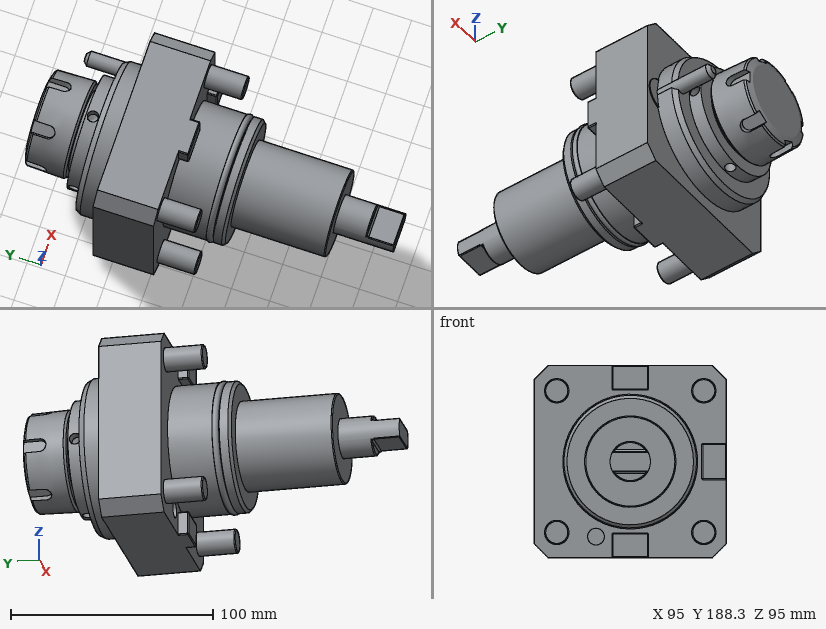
import cadquery as cq
import math


block_side = 95.0
block_thickness = 31.6
block_corner = 7.0
flange_radius = 40.0
flange_end = 43.7
flange_chamfer_radial = 1.5
flange_chamfer_axial = 2.8

pilot_radius = 32.8
pilot_depth = 32.0
pilot_chamfer = 1.5
groove_radius = 30.1
groove_start = 22.5
groove_end = 26.2
seal_radius = 1.7
seal_depth = 24.0
seal_outer_radius = 33.3
shank_radius = 22.6
shank_depth = 81.2
shank_chamfer = 0.5

key_width = 18.0
key_length = 12.2
key_height = 5.3
key_chamfer = 0.5

screw_radius = 6.0
screw_length = 19.8
screw_chamfer = 0.5
screw_x = 36.3
screw_z = 35.0

port_radius = 4.1
port_depth = 18.8
port_x = -17.0
port_z = -37.1

pin_x = 36.3
pin_radius = 4.0
pin_end = 63.8
pin_chamfer = 1.9
pad_radius = 9.8
pad_height = 0.5

nut_end = 76.0
nut_face_radius = 19.8
nut_cone_end = 74.8
nut_cone_radius = 24.1
nut_shoulder = 73.8
nut_shoulder_radius = 24.9
nut_radius = 25.5
nut_start = 53.5
nut_chamfer = 1.1
nut_slots = 6
slot_width = 6.8
slot_floor_radius = 21.7
slot_end = 63.5
neck_radius = 20.7
collar_radius = 29.5
collar_end = 51.2
collar_gap = 0.4
collar_start = flange_end + collar_gap
collar_hole_count = 4
collar_hole_radius = 2.8
collar_hole_depth = 5.6
drill_tip_angle = 118.0

shaft_radius = 10.0
overall_length = 188.3
shaft_end = nut_end - overall_length
tang_shoulder = -98.1
tang_thickness = 10.0
tang_chamfer = 0.4
shoulder_chamfer = 0.5
root_chamfer = 1.0


def revolve_about_y(profile):
    """Turn a closed half profile, drawn as (radius, y), about the Y axis."""
    return profile.close().revolve(360, (0, 0), (0, 1))


def cylinder_y(x, z, radius, y_from, y_to):
    """Cylinder parallel to Y between two Y levels."""
    start = cq.Vector(x, y_from, z)
    direction = cq.Vector(0, y_to - y_from, 0)
    return cq.Workplane(obj=cq.Solid.makeCylinder(radius, abs(y_to - y_from), start, direction))


def make_block():
    block = cq.Workplane("XY").box(block_side, block_thickness, block_side)
    block = block.edges("|Y").chamfer(block_corner)
    return block.translate((0, block_thickness / 2, 0))


def make_turned_housing():
    """Flange, pilot with seal ring, and shank as one turned shape."""
    seal_center_radius = seal_outer_radius - seal_radius
    profile = (
        cq.Workplane("XY")
        .moveTo(0, flange_end)
        .lineTo(flange_radius - flange_chamfer_radial, flange_end)
        .lineTo(flange_radius, flange_end - flange_chamfer_axial)
        .lineTo(flange_radius, 0)
        .lineTo(pilot_radius, 0)
        .lineTo(pilot_radius, -groove_start)
        .lineTo(groove_radius, -groove_start)
        .lineTo(groove_radius, -groove_end)
        .lineTo(pilot_radius, -groove_end)
        .lineTo(pilot_radius, pilot_chamfer - pilot_depth)
        .lineTo(pilot_radius - pilot_chamfer, -pilot_depth)
        .lineTo(shank_radius, -pilot_depth)
        .lineTo(shank_radius, shank_chamfer - shank_depth)
        .lineTo(shank_radius - shank_chamfer, -shank_depth)
        .lineTo(0, -shank_depth)
    )
    seal_plane = cq.Plane(origin=(seal_center_radius, -seal_depth, 0), xDir=(-1, 0, 0), normal=(0, 0, 1))
    seal = (
        cq.Workplane(seal_plane)
        .circle(seal_radius)
        .revolve(360, (seal_center_radius, 0), (seal_center_radius, 1))
    )
    return revolve_about_y(profile).union(seal)


def make_key(angle):
    """Key flush with one side of the block; angle 0 is the +X side."""
    key = cq.Workplane("XY").box(key_length, key_height, key_width)
    key = key.edges("|Y or <Y").chamfer(key_chamfer)
    key = key.translate(((block_side - key_length) / 2, -key_height / 2, 0))
    return key.rotate((0, 0, 0), (0, 1, 0), angle)


def make_screw(x, z):
    screw = cylinder_y(x, z, screw_radius, 0, -screw_length)
    return screw.faces("<Y").chamfer(screw_chamfer)


def make_pin():
    pin = cylinder_y(pin_x, 0, pin_radius, block_thickness, pin_end)
    pin = pin.faces(">Y").chamfer(pin_chamfer)
    pad = cylinder_y(pin_x, 0, pad_radius, block_thickness, block_thickness + pad_height)
    return pin.union(pad)


def make_housing():
    housing = make_block().union(make_turned_housing()).union(make_pin())
    for angle in (-90, 0, 90):
        housing = housing.union(make_key(angle))
    for x in (-screw_x, screw_x):
        for z in (-screw_z, screw_z):
            housing = housing.union(make_screw(x, z))
    housing = housing.cut(cylinder_y(port_x, port_z, port_radius, 0, port_depth))
    return housing.cut(cylinder_y(0, 0, shaft_radius, -shank_depth, flange_end))


def make_turned_spindle():
    """Nut, neck, collar and drive shaft as one turned shape."""
    profile = (
        cq.Workplane("XY")
        .moveTo(0, nut_end)
        .lineTo(nut_face_radius, nut_end)
        .lineTo(nut_cone_radius, nut_cone_end)
        .lineTo(nut_shoulder_radius, nut_shoulder)
        .lineTo(nut_radius, nut_start + nut_chamfer)
        .lineTo(nut_radius - nut_chamfer, nut_start)
        .lineTo(neck_radius, nut_start)
        .lineTo(neck_radius, collar_end)
        .lineTo(collar_radius, collar_end)
        .lineTo(collar_radius, collar_start)
        .lineTo(shaft_radius, collar_start)
        .lineTo(shaft_radius, shaft_end)
        .lineTo(0, shaft_end)
    )
    return revolve_about_y(profile)


def make_nut_slot(angle):
    """Round-ended spanner slot, open at the nut's face; angle 0 is on the +X side."""
    round_center = slot_end + slot_width / 2
    slot = (
        cq.Workplane("YZ", origin=(slot_floor_radius, 0, 0))
        .moveTo(nut_end, slot_width / 2)
        .lineTo(round_center, slot_width / 2)
        .threePointArc((slot_end, 0), (round_center, -slot_width / 2))
        .lineTo(nut_end, -slot_width / 2)
        .close()
        .extrude(nut_radius - slot_floor_radius)
    )
    return slot.rotate((0, 0, 0), (0, 1, 0), angle)


def make_collar_hole(angle):
    """Radial blind hole with a drill-point bottom; angle 0 is on the +X side."""
    tip_length = collar_hole_radius / math.tan(math.radians(drill_tip_angle / 2))
    floor_radius = collar_radius - collar_hole_depth
    hole_y = (collar_end + collar_start) / 2
    hole = (
        cq.Workplane("XY")
        .moveTo(floor_radius - tip_length, hole_y)
        .lineTo(floor_radius, hole_y + collar_hole_radius)
        .lineTo(collar_radius, hole_y + collar_hole_radius)
        .lineTo(collar_radius, hole_y)
        .close()
        .revolve(360, (0, hole_y), (1, hole_y))
    )
    return hole.rotate((0, 0, 0), (0, 1, 0), angle)


def make_tang_relief():
    """Material removed above the upper tang flat, leaving a bevelled root at the shoulder."""
    flat_z = tang_thickness / 2
    return (
        cq.Workplane("YZ")
        .moveTo(shaft_end, flat_z)
        .lineTo(tang_shoulder - root_chamfer, flat_z)
        .lineTo(tang_shoulder, flat_z + root_chamfer)
        .lineTo(tang_shoulder, shaft_radius)
        .lineTo(shaft_end, shaft_radius)
        .close()
        .extrude(shaft_radius, both=True)
    )


def make_shoulder_bevel():
    """Ring that bevels the rim of the shoulder."""
    profile = (
        cq.Workplane("XY")
        .moveTo(shaft_radius - shoulder_chamfer, tang_shoulder)
        .lineTo(shaft_radius, tang_shoulder)
        .lineTo(shaft_radius, tang_shoulder + shoulder_chamfer)
    )
    return revolve_about_y(profile)


def cut_tang(spindle):
    """Flatten the shaft end on two sides and bevel the edges of each flat."""
    relief = make_tang_relief()
    bevel = make_shoulder_bevel().intersect(
        cq.Workplane("XY")
        .workplane(offset=tang_thickness / 2)
        .rect(2 * shaft_radius, 2 * abs(shaft_end))
        .extrude(shaft_radius)
    )
    for cutter in (relief, bevel):
        spindle = spindle.cut(cutter).cut(cutter.mirror("XY"))
    for side in (1, -1):
        flat_center = (0, (shaft_end + tang_shoulder - root_chamfer) / 2, side * tang_thickness / 2)
        flat = spindle.faces(cq.selectors.NearestToPointSelector(flat_center))
        spindle = flat.edges("not >Y").chamfer(tang_chamfer)
    return spindle


def make_spindle():
    spindle = cut_tang(make_turned_spindle())
    for i in range(nut_slots):
        spindle = spindle.cut(make_nut_slot(i * 360 / nut_slots))
    for i in range(collar_hole_count):
        spindle = spindle.cut(make_collar_hole(i * 360 / collar_hole_count))
    return spindle


housing = make_housing()
spindle = make_spindle()

result = cq.Compound.makeCompound([housing.val(), spindle.val()])